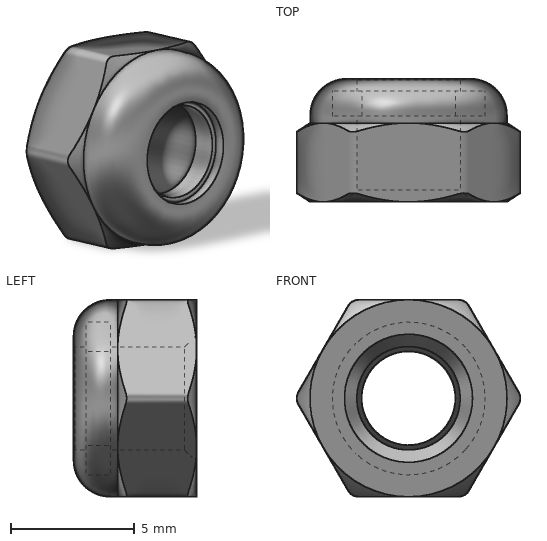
import cadquery as cq
import math

across_flats = 8.0
corner_radius = 0.5
hex_height = 3.2
hex_chamfer_angle = 33.5
nut_height = 5.0

bore_diameter = 4.2
countersink_diameter = 5.2
countersink_angle = 45.0

roll_radius = 1.5
insert_diameter = 6.2
insert_bore_diameter = 3.8
insert_height = 1.0

collar_radius = across_flats / 2
bore_radius = bore_diameter / 2
insert_radius = insert_diameter / 2
insert_bore_radius = insert_bore_diameter / 2

roll_center_radius = collar_radius - roll_radius
roll_center_y = nut_height - roll_radius
insert_seat_y = roll_center_y


def revolve_about_y(profile):
    """Turn a closed profile, drawn as (radius, y), fully about the Y axis."""
    return profile.close().revolve(360, (0, 0, 0), (0, 1, 0))


def make_hexagon():
    """Hexagonal prism with rounded corners and a conical chamfer at each end."""
    corner_distance = across_flats / math.sqrt(3)
    prism = (
        cq.Workplane("XZ")
        .polygon(6, 2 * corner_distance)
        .extrude(-hex_height)
        .edges("|Y")
        .fillet(corner_radius)
    )
    chamfer_depth = (corner_distance - collar_radius) * math.tan(math.radians(hex_chamfer_angle))
    chamfered_disc = revolve_about_y(
        cq.Workplane("XY")
        .lineTo(collar_radius, 0)
        .lineTo(corner_distance, chamfer_depth)
        .lineTo(corner_distance, hex_height - chamfer_depth)
        .lineTo(collar_radius, hex_height)
        .lineTo(0, hex_height)
    )
    return prism.intersect(chamfered_disc)


def make_collar():
    """Solid round collar whose rim rolls over the top and dips to the bore."""
    diagonal_reach = roll_radius * math.sqrt(0.5)
    roll_middle = (roll_center_radius + diagonal_reach, roll_center_y + diagonal_reach)
    lip_offset = roll_center_radius - bore_radius
    lip_y = roll_center_y + math.sqrt(roll_radius**2 - lip_offset**2)
    return revolve_about_y(
        cq.Workplane("XY")
        .lineTo(collar_radius, 0)
        .lineTo(collar_radius, roll_center_y)
        .threePointArc(roll_middle, (bore_radius, lip_y))
        .lineTo(0, lip_y)
    )


def make_bore():
    """Through bore with a conical countersink in the bearing face."""
    countersink_radius = countersink_diameter / 2
    countersink_depth = (countersink_radius - bore_radius) / math.tan(math.radians(countersink_angle))
    return revolve_about_y(
        cq.Workplane("XY")
        .lineTo(countersink_radius, 0)
        .lineTo(bore_radius, countersink_depth)
        .lineTo(bore_radius, nut_height)
        .lineTo(0, nut_height)
    )


def make_insert():
    """Plain locking ring seated in the groove under the rolled rim."""
    return (
        cq.Workplane("XZ", origin=(0, insert_seat_y, 0))
        .circle(insert_radius)
        .circle(insert_bore_radius)
        .extrude(-insert_height)
    )


insert = make_insert()
nut = make_hexagon().union(make_collar()).cut(make_bore()).cut(insert)

result = cq.Compound.makeCompound([nut.val(), insert.val()])